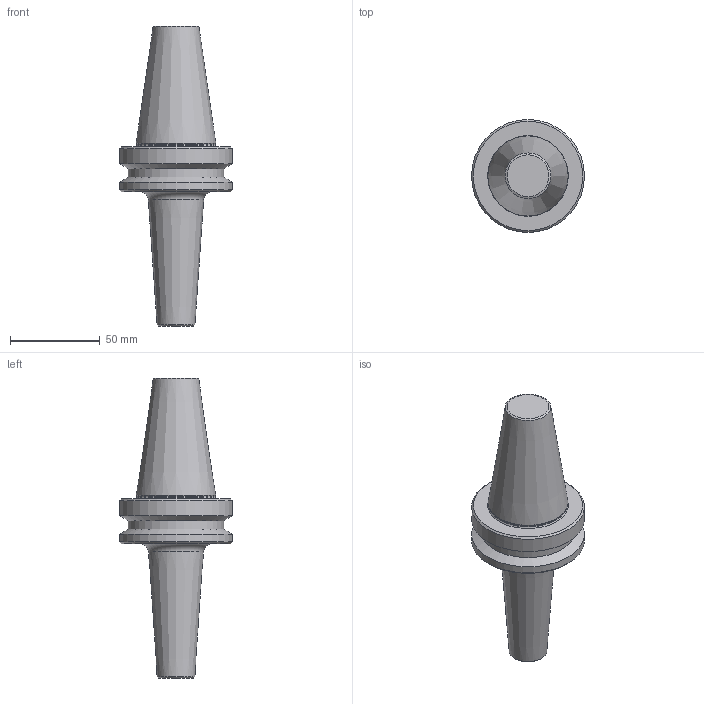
import cadquery as cq
import math

GAUGE_RADIUS = 44.45 / 2
TAPER_LENGTH = 65.4
TAPER_RATIO = 7 / 24
TAPER_TIP_RADIUS = GAUGE_RADIUS - TAPER_LENGTH * TAPER_RATIO / 2
TAPER_TIP_CHAMFER = 1.0
TAPER_TIP_CHAMFER_HEIGHT = 0.5

NECK_RADIUS = 22.0
NECK_LENGTH = 2.0
NECK_FOOT_RADIUS = 22.5
NECK_WAIST_TOP = -0.5
NECK_WAIST_BOTTOM = -1.2

FLANGE_RADIUS = 63 / 2
FLANGE_TOP = -NECK_LENGTH
FLANGE_THICKNESS = 25.0
FLANGE_BOTTOM = FLANGE_TOP - FLANGE_THICKNESS
FLANGE_CHAMFER = 1.0
GROOVE_RADIUS = 53.2 / 2
GROOVE_CENTRE = -16.6
GROOVE_FLOOR_WIDTH = 4.75
GROOVE_FLANK_ANGLE = 30.0
GROOVE_DEPTH = FLANGE_RADIUS - GROOVE_RADIUS
GROOVE_FLANK_HEIGHT = GROOVE_DEPTH * math.tan(math.radians(GROOVE_FLANK_ANGLE))

NOSE_LENGTH = 75.0
NOSE_BOTTOM = FLANGE_BOTTOM - NOSE_LENGTH
NOSE_TIP_RADIUS = 10.5
NOSE_TIP_CHAMFER = 0.6
NOSE_HALF_ANGLE = 4.0
NOSE_ROOT_RADIUS = NOSE_TIP_RADIUS + NOSE_LENGTH * math.tan(math.radians(NOSE_HALF_ANGLE))
NOSE_ROOT_FILLET = 5.0


def revolve_profile(points):
    """Turn a closed (radius, height) outline about the Z axis."""
    return cq.Workplane("XZ").polyline(points).close().revolve(360, (0, 0, 0), (0, 1, 0))


def make_shank():
    shank = revolve_profile([
        (0, FLANGE_TOP),
        (NECK_FOOT_RADIUS, FLANGE_TOP),
        (NECK_RADIUS, NECK_WAIST_BOTTOM),
        (NECK_RADIUS, NECK_WAIST_TOP),
        (GAUGE_RADIUS, 0),
        (TAPER_TIP_RADIUS, TAPER_LENGTH),
        (0, TAPER_LENGTH),
    ])
    return shank.faces(">Z").chamfer(TAPER_TIP_CHAMFER_HEIGHT, TAPER_TIP_CHAMFER)


def make_flange():
    disc = (
        cq.Workplane("XY", origin=(0, 0, FLANGE_BOTTOM))
        .circle(FLANGE_RADIUS)
        .extrude(FLANGE_THICKNESS)
        .edges()
        .chamfer(FLANGE_CHAMFER)
    )
    floor_half = GROOVE_FLOOR_WIDTH / 2
    mouth_half = floor_half + GROOVE_FLANK_HEIGHT
    groove = revolve_profile([
        (GROOVE_RADIUS, GROOVE_CENTRE - floor_half),
        (FLANGE_RADIUS, GROOVE_CENTRE - mouth_half),
        (FLANGE_RADIUS, GROOVE_CENTRE + mouth_half),
        (GROOVE_RADIUS, GROOVE_CENTRE + floor_half),
    ])
    return disc.cut(groove)


def make_nose():
    nose = revolve_profile([
        (0, FLANGE_BOTTOM),
        (NOSE_ROOT_RADIUS, FLANGE_BOTTOM),
        (NOSE_TIP_RADIUS, NOSE_BOTTOM),
        (0, NOSE_BOTTOM),
    ])
    return nose.faces("<Z").chamfer(NOSE_TIP_CHAMFER)


def fillet_nose_root(body):
    """Round the inner corner where the nose leaves the flange's bottom face."""
    margin = NOSE_ROOT_FILLET / 10
    corner = cq.selectors.BoxSelector(
        (-FLANGE_RADIUS, -FLANGE_RADIUS, FLANGE_BOTTOM - margin),
        (FLANGE_RADIUS, FLANGE_RADIUS, FLANGE_BOTTOM + margin),
    )
    smallest_circle = cq.selectors.RadiusNthSelector(0)
    return body.edges(corner).edges("%CIRCLE").edges(smallest_circle).fillet(NOSE_ROOT_FILLET)


holder = make_shank().union(make_flange()).union(make_nose())
result = fillet_nose_root(holder)